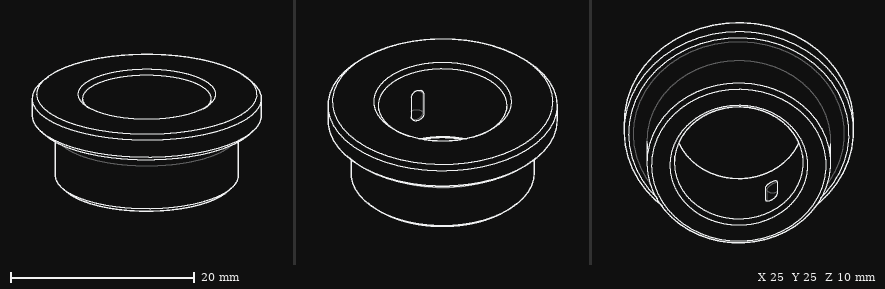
import cadquery as cq

flange_diameter = 25
body_diameter = 20
bore_diameter = 14
height = 10
flange_thickness = 3
chamfer = 0.5
neck_fillet = 1.5

recess_width = 1.5
recess_length = 4
recess_axis_x = 7.25

flange_radius = flange_diameter / 2
body_radius = body_diameter / 2
bore_radius = bore_diameter / 2
flange_bottom = height - flange_thickness
recess_radius = recess_width / 2


def make_bushing():
    """Revolve the half section, all edge breaks included."""
    section = (
        cq.Workplane("XZ")
        .moveTo(bore_radius + chamfer, 0)
        .lineTo(body_radius - chamfer, 0)
        .lineTo(body_radius, chamfer)
        .lineTo(body_radius, flange_bottom - neck_fillet)
        .radiusArc((body_radius + neck_fillet, flange_bottom), neck_fillet)
        .lineTo(flange_radius - chamfer, flange_bottom)
        .lineTo(flange_radius, flange_bottom + chamfer)
        .lineTo(flange_radius, height - chamfer)
        .lineTo(flange_radius - chamfer, height)
        .lineTo(bore_radius + chamfer, height)
        .lineTo(bore_radius, height - chamfer)
        .lineTo(bore_radius, chamfer)
        .close()
    )
    return section.revolve(360, (0, 0, 0), (0, 1, 0))


def make_recess_cutter():
    """Capsule along Z, joined to a straight slot that opens into the bore."""
    straight_length = recess_length - recess_width
    middle_z = height / 2
    capsule = (
        cq.Workplane("XY", origin=(recess_axis_x, 0, middle_z - straight_length / 2))
        .circle(recess_radius)
        .extrude(straight_length)
    )
    for end in (-1, 1):
        end_z = middle_z + end * straight_length / 2
        ball = cq.Workplane("XY", origin=(recess_axis_x, 0, end_z)).sphere(recess_radius)
        capsule = capsule.union(ball)
    opening = (
        cq.Workplane("YZ", origin=(recess_axis_x, 0, middle_z))
        .slot2D(recess_length, recess_width, 90)
        .extrude(-recess_width)
    )
    return capsule.union(opening)


result = make_bushing().cut(make_recess_cutter())